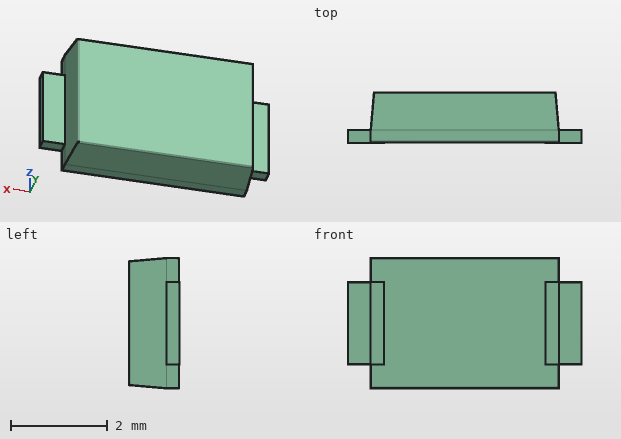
import cadquery as cq
import math

total_length = 4.84
total_depth = 1.05
body_height = 2.7

body_length = 3.895
standoff = 0.01
draft_angle = 5.0
edge_radius = 0.03

lead_length = 0.75
lead_thickness = 0.27
lead_height = 1.705

mounting_y = -total_depth / 2
body_front_y = mounting_y + standoff
parting_y = mounting_y + lead_thickness
rear_depth = total_depth - lead_thickness
lead_center_x = (total_length - lead_length) / 2


def section_at(y):
    """Workplane at the given Y whose normal points toward +Y."""
    return cq.Workplane(cq.Plane(origin=(0, y, 0), xDir=(1, 0, 0), normal=(0, 1, 0)))


def make_lead(side, body):
    """Terminal at the -X (side = -1) or +X (side = 1) end: a thick tab with a thin foot under the body."""
    blank = (
        section_at(mounting_y)
        .center(side * lead_center_x, 0)
        .rect(lead_length, lead_height)
        .extrude(lead_thickness)
    )
    return blank.cut(body)


def make_body():
    """Straight front slab and drafted rear block."""
    slab = section_at(body_front_y).rect(body_length, body_height).extrude(parting_y - body_front_y)
    slab = slab.faces("<Y").edges("|X").fillet(edge_radius)

    draft_inset = rear_depth * math.tan(math.radians(draft_angle))
    block = (
        section_at(parting_y)
        .rect(body_length, body_height)
        .workplane(offset=rear_depth)
        .rect(body_length - 2 * draft_inset, body_height - 2 * draft_inset)
        .loft(ruled=True)
    )
    block = block.faces(">Y").edges().fillet(edge_radius)

    return slab.union(block)


body = make_body()
leads = [make_lead(side, body) for side in (-1, 1)]

result = cq.Compound.makeCompound([body.val(), *[lead.val() for lead in leads]])